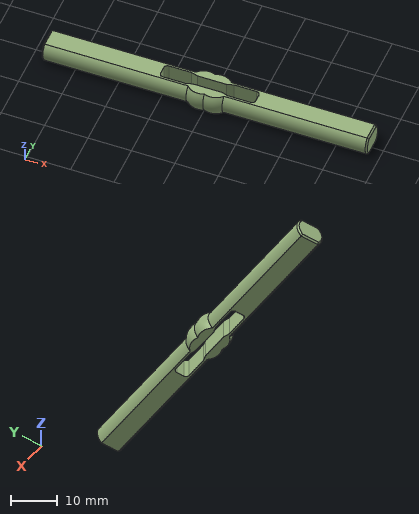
import cadquery as cq

rod_length = 75.0
rod_diameter = 6.7
flat_thickness = 5.0
end_chamfer = 0.4

ball_diameter = 8.55
ball_spacing = 2.9

slot_length = 21.9
slot_width = 3.45
slot_corner_radius = 0.8
pinch_width = 2.55
pinch_length = 6.75
pinch_taper_length = 1.5


def make_rod():
    """Cylinder along X, trimmed to its flats and chamfered around both ends."""
    rod = cq.Workplane("YZ").circle(rod_diameter / 2).extrude(rod_length / 2, both=True)
    rod = rod.intersect(cq.Workplane("XY").box(rod_length, rod_diameter, flat_thickness))
    return rod.faces("<X or >X").chamfer(end_chamfer)


def make_collar():
    """Two overlapping balls side by side along X, trimmed to the rod's flats."""
    ball_centers = [(-ball_spacing / 2, 0), (ball_spacing / 2, 0)]
    balls = cq.Workplane("XY").pushPoints(ball_centers).sphere(ball_diameter / 2)
    collar_length = ball_spacing + ball_diameter
    return balls.intersect(cq.Workplane("XY").box(collar_length, ball_diameter, flat_thickness))


def make_slot():
    """Rounded rectangle cutter with a narrower, tapered middle."""
    half_length = slot_length / 2
    half_width = slot_width / 2
    half_pinch_width = pinch_width / 2
    half_pinch = pinch_length / 2
    taper_start = half_pinch + pinch_taper_length
    upper_side = [
        (-half_length, half_width),
        (-taper_start, half_width),
        (-half_pinch, half_pinch_width),
        (half_pinch, half_pinch_width),
        (taper_start, half_width),
        (half_length, half_width),
    ]
    lower_side = [(x, -y) for x, y in reversed(upper_side)]
    slot = cq.Workplane("XY").polyline(upper_side + lower_side).close().extrude(flat_thickness, both=True)
    return slot.faces("<X or >X").edges("|Z").fillet(slot_corner_radius)


result = make_rod().union(make_collar()).cut(make_slot())